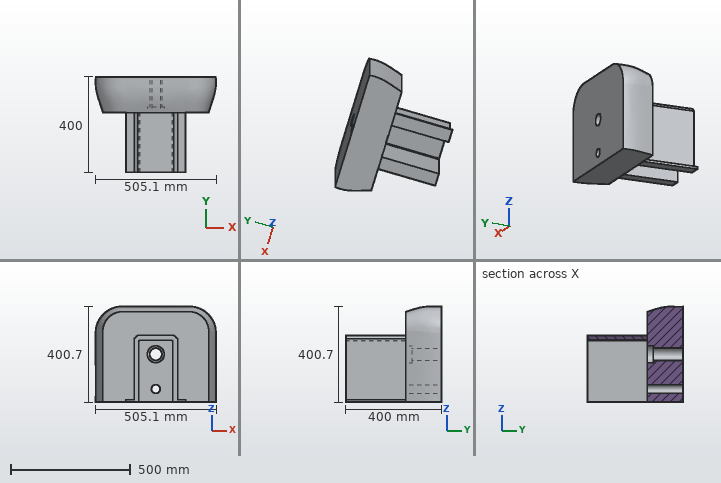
import cadquery as cq


housing_depth = 150.0
housing_sections = [
    (0, 251.0, 400.5),
    (25.5, 252.5, 400.5),
    (60.5, 248.5, 400.0),
    (106, 235.5, 392.0),
    (housing_depth, 221.5, 378.0),
]
top_edge_half_width = 140.5

large_hole_radius = 25.5
counterbore_radius = 35.5
counterbore_depth = 25.5
large_hole_height = 200.0
small_hole_radius = 17.5
small_hole_height = 54.5

rail_length = 250.0
rail_half_width = 91
rail_height = 279.5
rail_wall = 20
rail_chamfer = 15
channel_chamfer = rail_chamfer - rail_wall * (2 - 2 ** 0.5)
flange_half_width = 125.5
flange_thickness = 10.5


def housing_wire(forward, half_width, height):
    """Arched section with a flat bottom and two round top corners."""
    corner_radius = half_width - top_edge_half_width
    side_height = height - corner_radius
    section = (
        cq.Workplane("XZ", origin=(0, -forward, 0))
        .moveTo(-half_width, 0)
        .lineTo(half_width, 0)
        .lineTo(half_width, side_height)
        .radiusArc((top_edge_half_width, height), -corner_radius)
        .lineTo(-top_edge_half_width, height)
        .radiusArc((-half_width, side_height), -corner_radius)
        .close()
    )
    return section.val()


def drill(height, radius, depth):
    """Cylinder cut going back from the front face of the housing."""
    return (
        cq.Workplane("XZ", origin=(0, depth - housing_depth, height))
        .circle(radius)
        .extrude(depth)
    )


def make_housing():
    """Arched block tapering toward the front, with its two holes."""
    wires = [housing_wire(*section) for section in housing_sections]
    block = cq.Workplane(cq.Solid.makeLoft(wires))
    return (
        block
        .cut(drill(large_hole_height, large_hole_radius, housing_depth))
        .cut(drill(large_hole_height, counterbore_radius, counterbore_depth))
        .cut(drill(small_hole_height, small_hole_radius, housing_depth))
    )


def bar(half_width, height):
    """Bar standing on Z = 0 that runs the length of the rail."""
    return (
        cq.Workplane("XZ", origin=(0, -housing_depth, height / 2))
        .rect(2 * half_width, height)
        .extrude(rail_length)
    )


def chamfered_bar(half_width, height, chamfer):
    """Bar with its two long top edges chamfered."""
    return bar(half_width, height).faces(">Z").edges("|Y").chamfer(chamfer)


def make_rail():
    """Inverted channel with a thin flange along each foot."""
    outside = chamfered_bar(rail_half_width, rail_height, rail_chamfer)
    channel = chamfered_bar(rail_half_width - rail_wall, rail_height - rail_wall, channel_chamfer)
    flanges = bar(flange_half_width, flange_thickness)
    return outside.union(flanges).cut(channel)


housing = make_housing()
rail = make_rail()
result = cq.Compound.makeCompound([housing.val(), rail.val()])